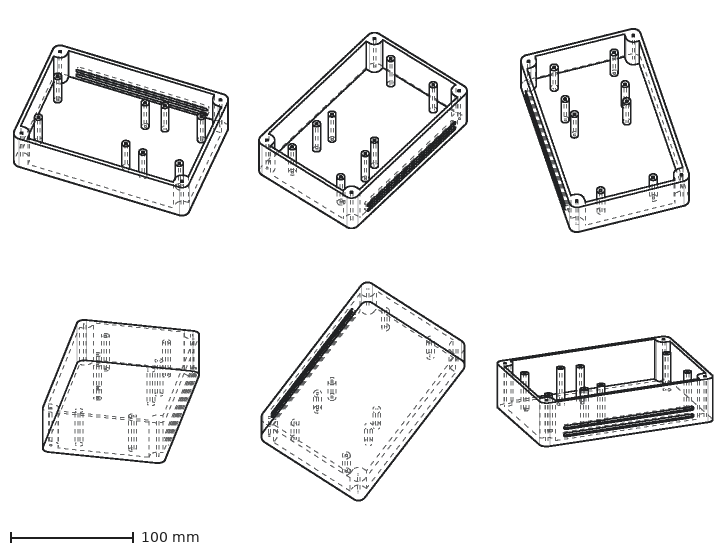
import cadquery as cq

length = 152.4
width = length * 2 / 3
height = length / 4
wall = 3.2
floor = wall
corner_radius = 6.4

boss_reach = 2 * corner_radius
hole_diameter = 2.0

post_diameter = 6.4
post_height = 31.7
large_board = (-25.5, 38.1, 22.3)
small_board = (44.5, 15.8, 25.5)

slot_length = 114.3
slot_height = 3.2
lowest_slot_z = 8.0
slot_pitch = 6.4
slot_count = 2


def rectangle_corners(center_x, half_x, half_y):
    return [(center_x + sx * half_x, sy * half_y) for sx in (-1, 1) for sy in (-1, 1)]


def make_shell():
    outer = cq.Workplane("XY").box(length, width, height, centered=(True, True, False))
    outer = outer.edges("|Z").fillet(corner_radius)
    cavity = (
        cq.Workplane("XY", origin=(0, 0, floor))
        .rect(length - 2 * wall, width - 2 * wall)
        .extrude(height - floor)
    )
    bosses = (
        cq.Workplane("XY", origin=(0, 0, floor))
        .pushPoints(rectangle_corners(0, length / 2, width / 2))
        .rect(2 * boss_reach, 2 * boss_reach)
        .extrude(height - floor)
        .edges("|Z")
        .fillet(corner_radius)
    )
    return outer.cut(cavity.cut(bosses))


def cylinders(points, diameter, top_z):
    """Vertical cylinders from the floor up to top_z."""
    return (
        cq.Workplane("XY", origin=(0, 0, floor))
        .pushPoints(points)
        .circle(diameter / 2)
        .extrude(top_z - floor)
    )


def make_vent_slots():
    slot_centers = [(0, lowest_slot_z + i * slot_pitch) for i in range(slot_count)]
    return (
        cq.Workplane("XZ", origin=(0, width / 2, 0))
        .pushPoints(slot_centers)
        .slot2D(slot_length, slot_height)
        .extrude(wall)
    )


boss_points = rectangle_corners(0, length / 2 - corner_radius, width / 2 - corner_radius)
post_points = rectangle_corners(*large_board) + rectangle_corners(*small_board)
post_top = floor + post_height

result = make_shell().union(cylinders(post_points, post_diameter, post_top))
result = result.cut(cylinders(post_points, hole_diameter, post_top))
result = result.cut(cylinders(boss_points, hole_diameter, height))
result = result.cut(make_vent_slots())